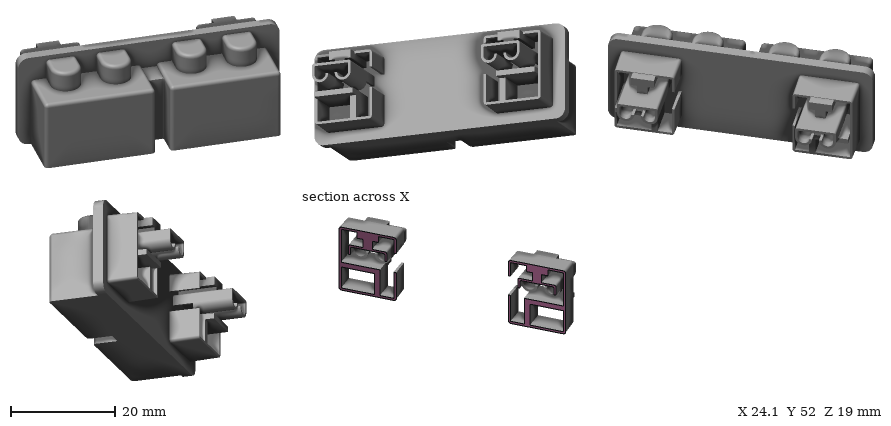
import math

import cadquery as cq

plate_length = 52
plate_height = 19.0
plate_thickness = 2.05
plate_corner_radius = 2.0

box_depth = 10.0
box_height = 14.0
box_edge_radius = 0.75
box_margin = 2.5
box_gap = 3.0
box_length = (plate_length - 2 * box_margin - box_gap) / 2
box_center = (box_gap + box_length) / 2
bridge_depth = box_depth / 2
bridge_corner_diameter = 0.5

dome_diameter = 6.0
dome_radius = dome_diameter / 2
dome_top = 18.0
dome_edge_radius = 0.75
dome_straight = dome_radius
dome_pitch = 10.0

plug_reach = 12.0
shell_depth = plug_reach / 2
shell_width = 12.0
shell_height = 14.0
shell_bottom = 2.35
shell_top = shell_bottom + shell_height
shell_draft = 1.0
shell_taper = shell_depth * math.tan(math.radians(shell_draft))
shell_wall = 0.5
cavity_inset = shell_taper + shell_wall
shell_corner_radius = 0.6
shell_outer_side = plate_length / 2 - box_margin
slot_bottom = 8.65
slot_top = 12.75

sleeve_width = 8.0
sleeve_top = 12.75
sleeve_straight = 2.2
sleeve_wall = 0.5
sleeve_corner_radius = 0.4
sleeve_inner_corner_radius = 0.25
lobe_width = 3.35
lobe_length = 8.0
lobe_radius = lobe_width / 2
lobe_offset = (sleeve_width - lobe_width) / 2
lobe_center_z = sleeve_top - sleeve_straight

overhang = 1.75
hanger_top = 16.1
hanger_height = hanger_top - sleeve_top
hanger_flange_width = 4.5
hanger_flange_height = hanger_height / 2
hanger_stem_width = 2.05
shelf_top = 8.6
shelf_thickness = 1.15
shelf_reach = 8.65
shelf_leg_width = 1.25
shelf_slope_length = 2.25
shelf_slope_drop = 0.1


def block(x_range, y_range, z_range):
    """Box between two limits along each axis."""
    size = [high - low for low, high in (x_range, y_range, z_range)]
    return cq.Workplane("XY").box(*size, centered=False).translate((x_range[0], y_range[0], z_range[0]))


def make_plate():
    half_length = plate_length / 2
    plate = block((0, plate_thickness), (-half_length, half_length), (0, plate_height))
    return plate.edges("|X").fillet(plate_corner_radius)


def make_box(center_y):
    """Rear box with rounded edges, except around its bottom face and where it meets the plate."""
    rear = plate_thickness + box_depth
    y_range = (center_y - box_length / 2, center_y + box_length / 2)
    box = block((plate_thickness, rear), y_range, (0, box_height))
    return box.faces(">X or >Z").edges("not(<X or <Z)").fillet(box_edge_radius)


def make_dome(center_y):
    """Round-ended dome, rising from inside the box to above it."""
    round_center = plate_thickness + dome_straight
    straight = block(
        (plate_thickness, round_center),
        (center_y - dome_radius, center_y + dome_radius),
        (box_height / 2, dome_top),
    )
    round_end = (
        cq.Workplane("XY", origin=(round_center, center_y, box_height / 2))
        .circle(dome_radius)
        .extrude(dome_top - box_height / 2)
    )
    return straight.union(round_end).faces(">Z").edges("not <X").fillet(dome_edge_radius)


def make_bridge():
    """Web between the boxes, with a rounded inside corner against each of them."""
    rear = plate_thickness + bridge_depth
    height = box_height - box_edge_radius
    corner_radius = bridge_corner_diameter / 2
    bridge = block((plate_thickness, rear + corner_radius), (-box_gap / 2, box_gap / 2), (0, height))
    groove = (
        cq.Workplane("XY", origin=(rear + box_depth / 2, 0, 0))
        .rect(box_depth, box_gap)
        .extrude(height)
        .edges("|Z and <X")
        .fillet(corner_radius)
    )
    return bridge.cut(groove)


def make_housing():
    housing = make_plate().union(make_bridge())
    for side in (-1, 1):
        housing = housing.union(make_box(side * box_center))
        for offset in (-dome_pitch / 2, dome_pitch / 2):
            housing = housing.union(make_dome(side * box_center + offset))
    return housing


def make_shell(y_in, y_out):
    """Drafted tube around a straight cavity that runs through to the plate."""
    center_y = (y_in + y_out) / 2
    shell = (
        cq.Workplane("YZ", origin=(0, center_y, (shell_bottom + shell_top) / 2))
        .rect(shell_width, shell_height)
        .extrude(-shell_depth, taper=shell_draft)
        .edges("not #X")
        .fillet(shell_corner_radius)
    )
    cavity = block(
        (-shell_depth, 0),
        (y_in + cavity_inset, y_out - cavity_inset),
        (shell_bottom + cavity_inset, shell_top - cavity_inset),
    )
    slot = block((-shell_depth, 0), (y_in, y_in + cavity_inset), (slot_bottom, slot_top))
    return shell.cut(cavity).cut(slot)


def sleeve_form(center_y, inset):
    """Solid bar, as long as the plug, with two shorter round lobes below; every side is inset."""
    half_width = sleeve_width / 2 - inset
    form = block(
        (-plug_reach, 0),
        (center_y - half_width, center_y + half_width),
        (lobe_center_z, sleeve_top - inset),
    )
    corner_radius = max(sleeve_corner_radius - inset, sleeve_inner_corner_radius)
    form = form.edges("|X and >Z").fillet(corner_radius)
    for side in (-1, 1):
        lobe = (
            cq.Workplane("YZ", origin=(-plug_reach, center_y + side * lobe_offset, lobe_center_z))
            .circle(lobe_radius - inset)
            .extrude(lobe_length)
        )
        form = form.union(lobe)
    return form


def make_sleeve(center_y):
    """Channel that runs back to the plate, with its two edges curled inward along the lobes."""
    return sleeve_form(center_y, 0).cut(sleeve_form(center_y, sleeve_wall))


def make_hanger(center_y):
    """T-shaped rail that carries the sleeve under the top wall of the shell."""
    x_range = (-shell_depth - overhang, 0)
    flange = block(
        x_range,
        (center_y - hanger_flange_width / 2, center_y + hanger_flange_width / 2),
        (hanger_top - hanger_flange_height, hanger_top),
    )
    stem = block(
        x_range,
        (center_y - hanger_stem_width / 2, center_y + hanger_stem_width / 2),
        (sleeve_top, hanger_top - hanger_flange_height),
    )
    return flange.union(stem)


def make_shelf(y_out):
    """L-shaped shelf: a bar from the outer wall, sloped at its front end, on a leg from the bottom wall."""
    wall_side = y_out - cavity_inset
    free_side = y_out - shelf_reach
    front = -shell_depth - overhang
    bar_outline = [
        (0, shelf_top - shelf_thickness),
        (0, shelf_top),
        (front + shelf_slope_length, shelf_top),
        (front, shelf_top - shelf_slope_drop),
        (front, shelf_top - shelf_thickness),
    ]
    bar = (
        cq.Workplane("XZ", origin=(0, free_side, 0))
        .polyline(bar_outline)
        .close()
        .extrude(free_side - wall_side)
    )
    leg = block(
        (-shell_depth, 0),
        (free_side, free_side + shelf_leg_width),
        (shell_bottom + cavity_inset, shelf_top - shelf_thickness),
    )
    return bar.union(leg)


def make_plug():
    """Plug on the +Y side of the plate."""
    y_out = shell_outer_side
    y_in = y_out - shell_width
    center_y = (y_in + y_out) / 2
    plug = make_shell(y_in, y_out)
    for part in (make_sleeve(center_y), make_hanger(center_y), make_shelf(y_out)):
        plug = plug.union(part)
    return plug


housing = make_housing()
plugs = [make_plug(), make_plug().mirror("XZ")]

result = cq.Compound.makeCompound([housing.val(), *[plug.val() for plug in plugs]])